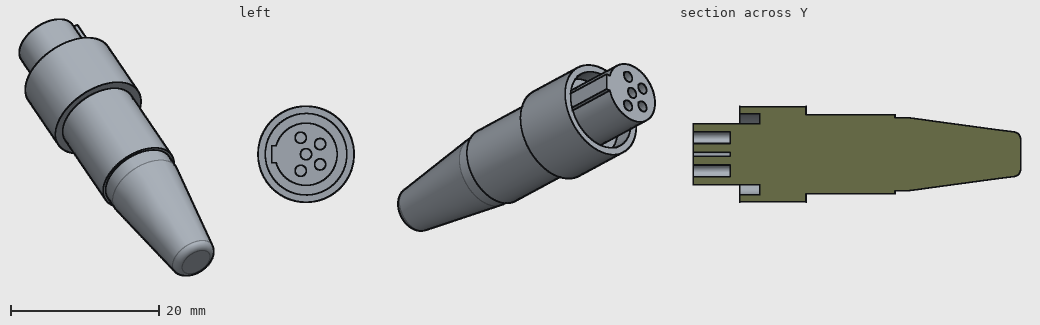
import cadquery as cq

total_length = 44.25
nose_projection = 6.3
collar_length = 9.0
body_length = 12.0
tail_collar_length = 2.0

collar_diameter = 13.0
collar_bore_diameter = 11.0
body_diameter = 10.8
tail_diameter = 10.0
tail_tip_diameter = 6.0
tip_fillet = 1.0

recess_depth = 2.7

nose_diameter = 8.4
key_reach = 4.65
key_width = 2.3

contact_diameter = 1.5
contact_depth = 5.0
contact_circle_radius = 2.35
contact_pitches = 5

collar_start = nose_projection
collar_end = collar_start + collar_length
body_end = collar_end + body_length
taper_start = body_end + tail_collar_length
recess_floor = collar_start + recess_depth


def make_shell():
    """Collar, body and tapered tail turned about the X axis, with a rounded tip."""
    profile = [
        (collar_start, 0),
        (collar_start, collar_diameter / 2),
        (collar_end, collar_diameter / 2),
        (collar_end, body_diameter / 2),
        (body_end, body_diameter / 2),
        (body_end, tail_diameter / 2),
        (taper_start, tail_diameter / 2),
        (total_length, tail_tip_diameter / 2),
        (total_length, 0),
    ]
    shell = cq.Workplane("XY").polyline(profile).close().revolve(360, (0, 0, 0), (1, 0, 0))
    shell = shell.faces(">X").edges().fillet(tip_fillet)
    bore = (
        cq.Workplane("YZ", origin=(collar_start, 0, 0))
        .circle(collar_bore_diameter / 2)
        .extrude(recess_depth)
    )
    return shell.cut(bore)


def make_nose():
    """Keyed cylinder running from the front face to the floor of the recess."""
    cylinder = cq.Workplane("YZ").circle(nose_diameter / 2).extrude(recess_floor)
    key = (
        cq.Workplane("YZ")
        .center(key_reach / 2, 0)
        .rect(key_reach, key_width)
        .extrude(recess_floor)
    )
    return cylinder.union(key)


def make_contact_holes():
    """Blind contact holes in the front face."""
    pitch_angle = 360 / contact_pitches
    return (
        cq.Workplane("YZ")
        .polarArray(
            contact_circle_radius,
            pitch_angle,
            360 - 2 * pitch_angle,
            contact_pitches - 1,
        )
        .circle(contact_diameter / 2)
        .extrude(contact_depth)
        .union(cq.Workplane("YZ").circle(contact_diameter / 2).extrude(contact_depth))
    )


result = make_shell().union(make_nose()).cut(make_contact_holes())